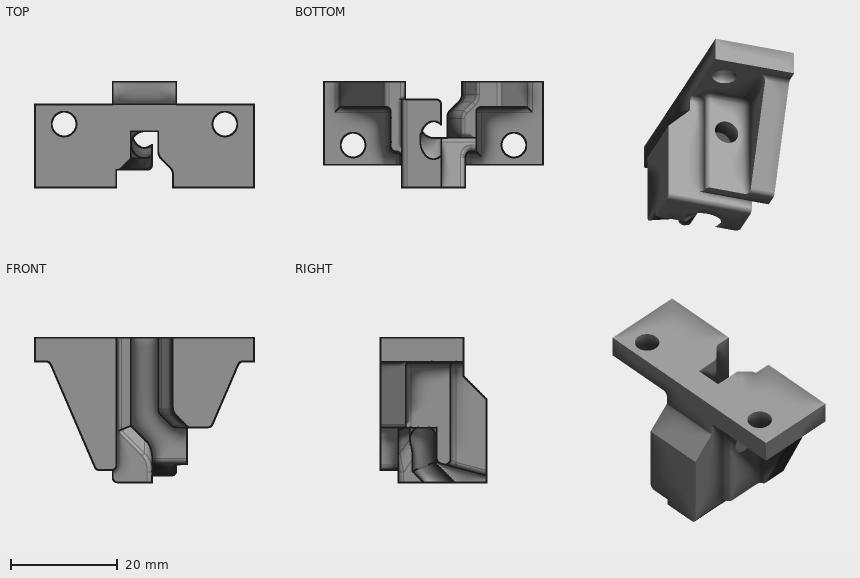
import cadquery as cq
import math


plate_length = 41.0
plate_depth = 15.6
plate_thickness = 4.45
hole_diameter = 4.6
plate_hole_inset_x = 5.45
plate_hole_y = 11.9
mid_x = plate_length / 2

height = 27.1
blend_radius = 1.0
wing_depth = 4.7
wing_top_inset = 2.7
wing_taper = 0.43
left_wing_bottom = -24.8
right_wing_bottom = -16.8
left_wing_inner_x = 15.25
pad_width = 16.0
pad_back_y = 13.08
pad_left_x = mid_x - pad_width / 2
pad_right_x = mid_x + pad_width / 2
block_width = 11.97
block_back_y = 19.85
block_chamfer_top = -7.25
block_left_x = mid_x - block_width / 2
block_right_x = mid_x + block_width / 2

slot_width = 5.1
slot_back_y = 10.55
slot_left_x = mid_x - slot_width / 2
slot_right_x = mid_x + slot_width / 2
mouth_right_x = 25.85
flare_outer_y = 3.2
flare_radius = 2.0
bend_z = -13.95

lug_front_y = 3.32
lug_right_x = 21.95
lug_bevel = 2.15
lug_bend_z = -16.5
lug_round = 3.0

slope_angle = 15.0
slope_back_z = -25.85
slope_tangent = math.tan(math.radians(slope_angle))
slope_front_z = slope_back_z + (block_back_y - slot_back_y) * slope_tangent

side_hole_y = 9.05
side_hole_z = -11.97
side_hole_depth = 4.1
bore_radius = 2.5
bore_y = slot_back_y - bore_radius
bore_top_z = -14.92
bore_bend_z = -24.15

margin = 4.1
tolerance = 0.05


def box(x0, x1, y0, y1, z0, z1):
    """Box between two opposite corners."""
    return cq.Workplane("XY").box(x1 - x0, y1 - y0, z1 - z0, centered=False).translate((x0, y0, z0))


def extrude_along_y(points, y0, y1):
    """Prism along Y from (x, z) points."""
    return cq.Workplane("XZ", origin=(0, y0, 0)).polyline(points).close().extrude(y0 - y1)


def extrude_along_x(points, x0, x1):
    """Prism along X from (y, z) points."""
    return cq.Workplane("YZ", origin=(x0, 0, 0)).polyline(points).close().extrude(x1 - x0)


def arc_setback(radius):
    """Distance from a 45 degree corner to the ends of its arc: along a side, and its X or Y part."""
    tangent = radius * math.tan(math.radians(45) / 2)
    return tangent, tangent * math.sqrt(0.5)


def near(xs, ys, zs):
    """Selector for edges with their centre in the given X, Y and Z ranges, a little widened."""
    low = [min(span) - tolerance for span in (xs, ys, zs)]
    high = [max(span) + tolerance for span in (xs, ys, zs)]
    return cq.selectors.BoxSelector(low, high)


def make_wing(inner_x, bottom_z):
    """Left-hand wing: sloping outer side, rounded lower corners."""
    outer_bottom_x = wing_top_inset + wing_taper * (-plate_thickness - bottom_z)
    profile = [
        (wing_top_inset, -plate_thickness),
        (outer_bottom_x, bottom_z),
        (inner_x, bottom_z),
        (inner_x, -plate_thickness),
    ]
    wing = extrude_along_y(profile, 0, wing_depth)
    return wing.edges("|Y").edges("<Z").fillet(blend_radius)


def make_block():
    """Centre block with a chamfered upper back and a rounded lower left edge."""
    overhang = block_back_y - plate_depth
    profile = [
        (lug_front_y, -plate_thickness),
        (plate_depth, -plate_thickness),
        (plate_depth, block_chamfer_top),
        (block_back_y, block_chamfer_top - overhang),
        (block_back_y, -height),
        (lug_front_y, -height),
    ]
    block = extrude_along_x(profile, block_left_x, block_right_x)
    return block.edges("|Y and <X and <Z").fillet(blend_radius)


def make_body():
    """Plate, wings, pad and centre block, blended together, before the channel is cut."""
    plate = box(0, plate_length, 0, plate_depth, -plate_thickness, 0)
    left_wing = make_wing(left_wing_inner_x, left_wing_bottom)
    right_wing = make_wing(mid_x, right_wing_bottom).mirror("YZ", (mid_x, 0, 0))
    pad = box(pad_left_x, pad_right_x, lug_front_y, pad_back_y, left_wing_bottom, -plate_thickness)
    pad = pad.edges("|Z and >Y and <X").fillet(blend_radius)
    body = plate.union(left_wing).union(right_wing).union(pad).union(make_block())

    for pad_x, block_x in ((pad_left_x, block_left_x), (pad_right_x, block_right_x)):
        for x, y in ((block_x, pad_back_y), (pad_x, wing_depth)):
            inner_corner = near((x, x), (y, y), (-height, -margin - plate_thickness))
            body = body.edges(inner_corner).fillet(blend_radius)

    plate_underside = (-plate_thickness, -plate_thickness)
    under_plate = near((0.4, plate_length - 0.4), (0.4, plate_depth - 0.4), plate_underside)
    between_wings = near((left_wing_inner_x, mouth_right_x), (0, wing_depth), plate_underside)
    return body.edges(under_plate - between_wings).fillet(blend_radius)


def channel_plan(z, shift):
    """Plan of the channel at height z, moved by shift along X, flared at the right of its mouth."""
    tangent, diagonal = arc_setback(flare_radius)
    flare_inner_y = flare_outer_y + mouth_right_x - slot_right_x
    return (
        cq.Workplane("XY", origin=(shift, 0, z))
        .moveTo(left_wing_inner_x, -margin)
        .lineTo(mouth_right_x, -margin)
        .lineTo(mouth_right_x, flare_outer_y - tangent)
        .tangentArcPoint((mouth_right_x - diagonal, flare_outer_y + diagonal), relative=False)
        .lineTo(slot_right_x + diagonal, flare_inner_y - diagonal)
        .tangentArcPoint((slot_right_x, flare_inner_y + tangent), relative=False)
        .lineTo(slot_right_x, slot_back_y)
        .lineTo(left_wing_inner_x, slot_back_y)
        .close()
    )


def cut_channel(body):
    """Cut the channel; its right wall runs down, then out at 45 degrees under the right wing."""
    drop = bend_z - right_wing_bottom
    upright = channel_plan(right_wing_bottom, 0).extrude(-right_wing_bottom + margin)
    plan_top = channel_plan(bend_z, 0).wires().val()
    plan_bottom = channel_plan(right_wing_bottom, drop).wires().val()
    leaning = cq.Workplane(cq.Solid.makeLoft([plan_top, plan_bottom], True))
    below = box(left_wing_inner_x, plate_length, -margin, slot_back_y, -height - margin, right_wing_bottom)
    body = body.cut(upright).cut(leaning).cut(below)
    bend_edges = near((slot_right_x, mouth_right_x), (0.4, slot_back_y), (bend_z, bend_z))
    body = body.edges(bend_edges).fillet(flare_radius)
    foot_x = slot_right_x + drop
    foot_edge = near((foot_x, foot_x), (flare_outer_y, slot_back_y), (right_wing_bottom, right_wing_bottom))
    return body.edges(foot_edge).fillet(blend_radius)


def make_left_wall():
    """Upright wall at the left of the slot, with a 45 degree flare blended into its front."""
    flare_y = lug_front_y + lug_bevel
    flare_front_x = slot_left_x - lug_bevel
    tangent, diagonal = arc_setback(blend_radius)
    plan = (
        cq.Workplane("XY")
        .moveTo(block_left_x, lug_front_y)
        .lineTo(flare_front_x - tangent, lug_front_y)
        .tangentArcPoint((flare_front_x + diagonal, lug_front_y + diagonal), relative=False)
        .lineTo(slot_left_x, flare_y)
        .lineTo(slot_left_x, slot_back_y)
        .lineTo(block_left_x, slot_back_y)
        .close()
    )
    return plan.extrude(lug_bend_z - lug_bevel)


def make_lug():
    """Lug under the slot: 45 degree ramp, bevelled front, rounded towards its right side."""
    profile = [
        (block_left_x, lug_bend_z + slot_left_x - block_left_x),
        (lug_right_x, lug_bend_z + slot_left_x - lug_right_x),
        (lug_right_x, -height),
        (block_left_x, -height),
    ]
    lug = extrude_along_y(profile, lug_front_y, slot_back_y)
    ramp_direction = cq.selectors.ParallelDirSelector(cq.Vector(1, 0, -1))
    lug = lug.faces("<Y").edges(ramp_direction).edges(">Z").chamfer(lug_bevel)
    above_foot = (0.4 - height, 0)
    right_ends = near((lug_right_x, lug_right_x), (lug_front_y + 0.4, slot_back_y - 0.4), above_foot)
    lug = lug.edges(right_ends).fillet(lug_round)
    front_rim = near((block_left_x + 0.4, lug_right_x), (lug_front_y, lug_front_y), above_foot)
    lug = lug.edges(front_rim).fillet(blend_radius)
    return lug.edges("|Y and <X and <Z").fillet(blend_radius)


def make_slope_cutter():
    """Everything below the sloping underside, to the right of the lug."""
    front_y = slot_back_y - margin
    back_y = block_back_y + margin
    profile = [
        (front_y, slope_front_z + margin * slope_tangent),
        (back_y, slope_back_z - margin * slope_tangent),
        (back_y, -height - margin),
        (front_y, -height - margin),
    ]
    return extrude_along_x(profile, lug_right_x, plate_length)


def slope_underside(body):
    """Slope the underside to the right of the lug and round its front, right and pad edges."""
    body = body.cut(make_slope_cutter())
    block_side = (block_right_x, block_right_x)
    side_edge = near(block_side, (pad_back_y, block_back_y), (slope_back_z, slope_front_z))
    front_edge = near((lug_right_x, pad_right_x), (slot_back_y, slot_back_y), (slope_front_z, slope_front_z))
    body = body.edges(side_edge).fillet(blend_radius)
    return body.edges(front_edge).fillet(blend_radius)


def make_bore():
    """Bore that turns backwards by 45 degrees inside the lug; its upright part is square at the right."""
    path = (
        cq.Workplane("YZ", origin=(mid_x, 0, 0))
        .moveTo(bore_y, bore_top_z)
        .lineTo(bore_y, bore_bend_z)
        .lineTo(bore_y + height, bore_bend_z - height)
    )
    start = cq.Workplane("XY", origin=(mid_x, bore_y, bore_top_z)).circle(bore_radius)
    square_side = box(mid_x, lug_right_x, bore_y, slot_back_y, -height - margin, bore_top_z)
    return start.sweep(path, transition="right").union(square_side)


def make_round_holes():
    """Two holes through the plate and a blind hole in the left face of the pad."""
    plate_hole_spots = [(x, plate_hole_y) for x in (plate_hole_inset_x, plate_length - plate_hole_inset_x)]
    plate_holes = (
        cq.Workplane("XY").pushPoints(plate_hole_spots).circle(hole_diameter / 2).extrude(-plate_thickness)
    )
    side_hole = (
        cq.Workplane("YZ", origin=(pad_left_x, 0, 0))
        .center(side_hole_y, side_hole_z)
        .circle(hole_diameter / 2)
        .extrude(side_hole_depth)
    )
    return plate_holes.union(side_hole)


result = cut_channel(make_body())
result = result.union(make_left_wall()).union(make_lug())
result = slope_underside(result)
result = result.cut(make_bore()).cut(make_round_holes())